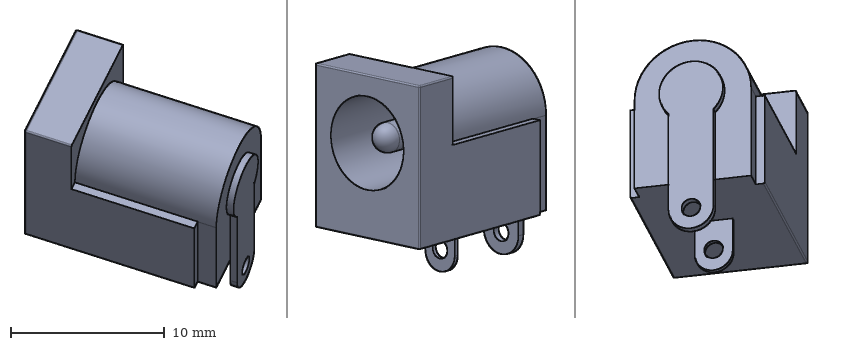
import cadquery as cq

width = 9.0
height = 14.6
base_z = 3.6
flange_length = 3.3
edge_radius = 0.1
side_length = 11.9
barrel_end = 13.2
barrel_radius = 3.9
axis_z = 10.0

socket_radius = 3.14
socket_depth = 9.49
collar_radius = 1.5
collar_length = 0.44
pin_radius = 1.01
pin_tip_x = 1.0

rear_tab_thickness = 0.5
rear_tab_width = 3.01
rear_disc_radius = 2.13
front_tab_x = 7.17
front_tab_thickness = 0.32
front_tab_width = 2.54
tab_hole_radius = 0.63
tab_hole_z = 1.5


def box(x_start, x_end, y_size, z_start, z_end):
    """Box centred on Y between the given X and Z limits."""
    return cq.Workplane("XY").box(
        x_end - x_start, y_size, z_end - z_start, centered=(False, True, False)
    ).translate((x_start, 0, z_start))


def rod(x_start, x_end, radius, z_center=axis_z):
    """Cylinder along X."""
    return (
        cq.Workplane("YZ", origin=(x_start, 0, z_center))
        .circle(radius)
        .extrude(x_end - x_start)
    )


def make_housing():
    """L-shaped body with rounded edges, carrying the round barrel."""
    flange = box(0, flange_length, width, base_z, height)
    base = box(0, side_length, width, base_z, axis_z)
    body = flange.union(base)
    body = body.edges("<X or (|X and (<Z or >Z))").fillet(edge_radius)
    barrel = rod(flange_length, barrel_end, barrel_radius)
    rear_base = box(flange_length, barrel_end, 2 * barrel_radius, base_z, axis_z)
    return body.union(barrel).union(rear_base)


def make_center_pin():
    """Round-nosed contact standing on a collar at the socket floor."""
    nose_x = pin_tip_x + pin_radius
    nose = cq.Workplane("XY").sphere(pin_radius).translate((nose_x, 0, axis_z))
    shank = rod(nose_x, socket_depth, pin_radius)
    collar = rod(socket_depth - collar_length, socket_depth, collar_radius)
    return nose.union(shank).union(collar)


def make_tab(x_start, thickness, tab_width, top_z):
    """Hanging solder tab with a fully rounded lower end and a hole."""
    radius = tab_width / 2
    end_x = x_start + thickness
    tab = box(x_start, end_x, tab_width, radius, top_z)
    tab = tab.union(rod(x_start, end_x, radius, radius))
    return tab.cut(rod(x_start, end_x, tab_hole_radius, tab_hole_z))


housing = make_housing().cut(rod(0, socket_depth, socket_radius))
rear_tab = make_tab(barrel_end, rear_tab_thickness, rear_tab_width, axis_z)
rear_disc = rod(barrel_end, barrel_end + rear_tab_thickness, rear_disc_radius)
front_tab = make_tab(front_tab_x, front_tab_thickness, front_tab_width, base_z)

result = (
    housing.union(make_center_pin())
    .union(rear_tab)
    .union(rear_disc)
    .union(front_tab)
)